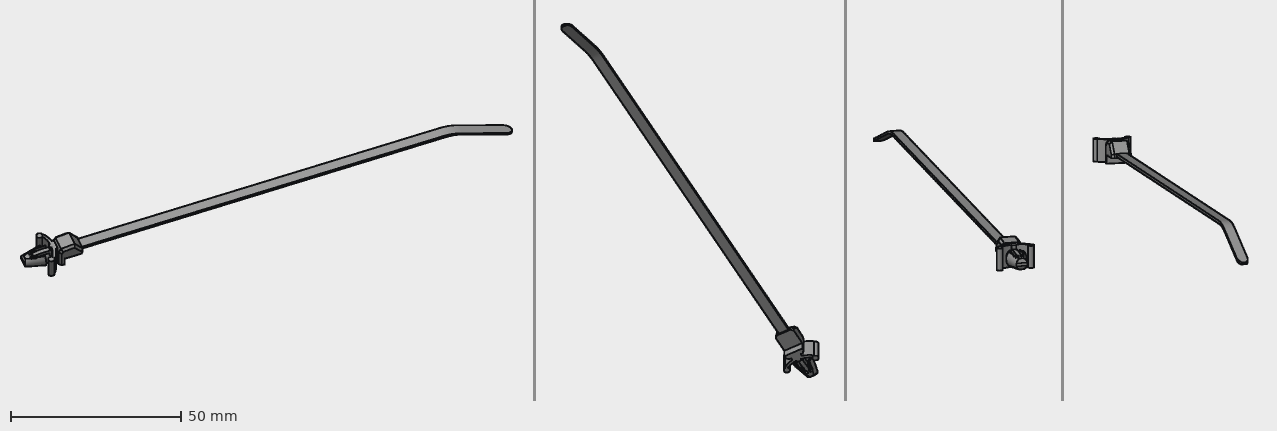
import cadquery as cq
import math

total_length = 154.1

strap_width = 3.2
strap_thickness = 1.0
tail_thickness = 0.7
strap_bottom = -0.3
bend_start = 131.9
bend_length = 5.7
bend_angle = 24.2
strap_end_length = 2.3

head_width = 6.0
head_back = 10.3
head_front = 18.0
head_bottom = -0.8
head_top_front = 15.4
head_height = 3.9
head_height_back = 3.4
head_lip_height = 0.5
head_corner = 0.8
head_bevel = 0.8
head_back_bevel_length = 0.8
head_back_bevel_drop = 1.2
wall_thickness = 1.7

umbrella_width = 11.4
umbrella_half_height = 3.4
leaf_top = 9.9
leaf_thickness = 1.1
leaf_outer_radius = 8.0
leaf_inner_radius = 8.6
bead_radius = 1.0
bead_x = umbrella_width / 2 - bead_radius
bead_y = 7.1
neck_width = 3.2

tip_radius = 1.7
tip_edge_half_height = 0.5
tip_bevel_length = 0.5
tip_half_height = 1.7
shoulder_y = 6.2
shoulder_radius = 3.1
shoulder_half_height = 2.2
barb_end = 7.7
barb_end_radius = 2.6
post_width = 1.4
post_foot_width = 0.8
post_foot_end = 3.1
slot_outer_x = 1.5
slot_bottom = 2.2
slot_bottom_outer_x = 1.2
slot_taper_start = 3.4
bridge_thickness = 0.5
bridge_starts = (3.0, 3.9)
bridge_half_height = 1.5
post_root_length = 0.5


def box(x_size, y_start, y_end, z_start, z_end):
    """Block centred on X = 0 between the given Y and Z limits."""
    size = (x_size, y_end - y_start, z_end - z_start)
    centre = (0, (y_start + y_end) / 2, (z_start + z_end) / 2)
    return cq.Workplane("XY").box(*size).translate(centre)


def make_strap():
    """Bent strip, cut to a rounded end in plan."""
    angle = math.radians(bend_angle)
    strap_top = strap_bottom + strap_thickness
    outer_radius = bend_length / math.sin(angle)
    tail_radius = outer_radius - tail_thickness
    middle_radius = outer_radius - (strap_thickness + tail_thickness) / 2
    pivot_z = strap_top - outer_radius

    def bend_point(radius, turn):
        return bend_start + radius * math.sin(turn), pivot_z + radius * math.cos(turn)

    bend_end = bend_point(outer_radius, angle)
    end_top_z = bend_end[1] - (total_length - bend_end[0]) * math.tan(angle)
    end_bottom_y = total_length - tail_thickness * math.sin(angle)
    end_bottom_z = end_top_z - tail_thickness * math.cos(angle)
    strip = (
        cq.Workplane("YZ")
        .moveTo(head_back, strap_top)
        .lineTo(bend_start, strap_top)
        .threePointArc(bend_point(outer_radius, angle / 2), bend_end)
        .lineTo(total_length, end_top_z)
        .lineTo(end_bottom_y, end_bottom_z)
        .lineTo(*bend_point(tail_radius, angle))
        .threePointArc(bend_point(middle_radius, angle / 2), (bend_start, strap_bottom))
        .lineTo(head_back, strap_bottom)
        .close()
        .extrude(strap_width / 2, both=True)
    )
    end_centre_y = total_length - strap_end_length
    plan = box(strap_width, head_back, end_centre_y, -total_length, total_length)
    rounded_end = (
        cq.Workplane("XY")
        .center(0, end_centre_y)
        .ellipse(strap_width / 2, strap_end_length)
        .extrude(total_length, both=True)
    )
    plan = plan.union(rounded_end)
    return strip.intersect(plan)


def make_head():
    """Wedge with bevelled top edges and corners, plus the taller wall at its mount end."""
    wedge = (
        cq.Workplane("YZ")
        .polyline(
            [
                (head_back, head_bottom),
                (head_front, head_bottom),
                (head_front, head_lip_height),
                (head_top_front, head_height),
                (head_back + head_back_bevel_length, head_height_back),
                (head_back, head_height_back - head_back_bevel_drop),
            ]
        )
        .close()
        .extrude(head_width / 2, both=True)
    )
    wedge = wedge.edges("not(|X or |Y or |Z)").chamfer(head_bevel)
    wall = box(head_width, head_back, head_back + wall_thickness, -umbrella_half_height, 0)
    plan = box(head_width, head_back, head_front, -umbrella_half_height, head_height)
    plan = plan.edges("|Z").chamfer(head_corner)
    return wedge.union(wall).intersect(plan)


def make_umbrella():
    """Leaf between two arcs, a bead on each edge, and the neck that joins it to the head."""

    def arc_y(top, radius, x):
        return top - radius + math.sqrt(radius**2 - x**2)

    leaf_bottom = leaf_top - leaf_thickness
    outer_y = arc_y(leaf_top, leaf_outer_radius, bead_x)
    inner_y = arc_y(leaf_bottom, leaf_inner_radius, bead_x)
    leaf = (
        cq.Workplane("XY")
        .moveTo(-bead_x, outer_y)
        .threePointArc((0, leaf_top), (bead_x, outer_y))
        .lineTo(bead_x, inner_y)
        .threePointArc((0, leaf_bottom), (-bead_x, inner_y))
        .close()
        .extrude(umbrella_half_height, both=True)
    )
    beads = (
        cq.Workplane("XY")
        .pushPoints([(-bead_x, bead_y), (bead_x, bead_y)])
        .circle(bead_radius)
        .extrude(umbrella_half_height, both=True)
    )
    leaf_middle = (leaf_top + leaf_bottom) / 2
    neck = box(neck_width, leaf_middle, head_back, -umbrella_half_height, umbrella_half_height)
    return leaf.union(beads).union(neck)


def make_slot(side):
    """Gap between the post and one barb, wrapping under the post; side is -1 or 1."""
    post_x = post_width / 2
    foot_x = post_foot_width / 2
    outline = [
        (post_x, barb_end),
        (slot_outer_x, barb_end),
        (slot_outer_x, slot_taper_start),
        (slot_bottom_outer_x, slot_bottom),
        (foot_x, slot_bottom),
        (foot_x, post_foot_end),
        (post_x, post_foot_end),
    ]
    points = [(side * x, y) for x, y in outline]
    return cq.Workplane("XY").polyline(points).close().extrude(shoulder_radius, both=True)


def make_arrowhead():
    """Flattened cone with two barbs, the central post and the thin bridges between them."""
    cone = (
        cq.Workplane("XY")
        .polyline(
            [
                (0, 0),
                (tip_radius, 0),
                (shoulder_radius, shoulder_y),
                (barb_end_radius, shoulder_y),
                (barb_end_radius, barb_end),
                (0, barb_end),
            ]
        )
        .close()
        .revolve(360, (0, 0, 0), (0, 1, 0))
    )
    upper_side = [
        (0, tip_edge_half_height),
        (tip_bevel_length, tip_half_height),
        (shoulder_y, shoulder_half_height),
        (barb_end, shoulder_half_height),
    ]
    lower_side = [(y, -z) for y, z in reversed(upper_side)]
    side_outline = cq.Workplane("YZ").polyline(upper_side + lower_side).close()
    arrow = cone.intersect(side_outline.extrude(shoulder_radius, both=True))
    for side in (-1, 1):
        arrow = arrow.cut(make_slot(side))
    for start in bridge_starts:
        end = start + bridge_thickness
        bridge = box(2 * slot_outer_x, start, end, -bridge_half_height, bridge_half_height)
        arrow = arrow.union(bridge)
    leaf_bottom = leaf_top - leaf_thickness
    leaf_middle = leaf_top - leaf_thickness / 2
    root_start = leaf_bottom - post_root_length
    post = box(post_width, barb_end, leaf_middle, -shoulder_half_height, shoulder_half_height)
    root = box(post_width, root_start, leaf_middle, -umbrella_half_height, umbrella_half_height)
    return arrow.union(post).union(root)


result = make_strap().union(make_head()).union(make_umbrella()).union(make_arrowhead())